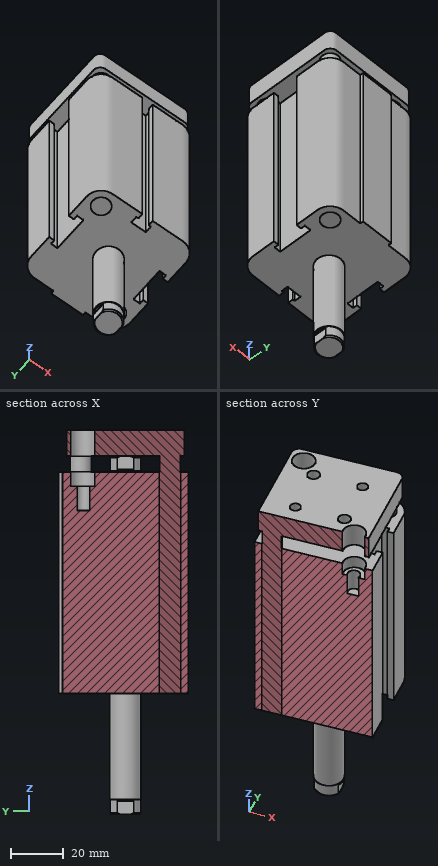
import cadquery as cq

TOTAL_HEIGHT = 146.5
PLATE_THICKNESS = 10.0
PLATE_GAP = 6.0
HOUSING_HEIGHT = 84.5
PLATE_BOTTOM = TOTAL_HEIGHT - PLATE_THICKNESS
HOUSING_TOP = PLATE_BOTTOM - PLATE_GAP
HOUSING_BOTTOM = HOUSING_TOP - HOUSING_HEIGHT

HOUSING_SIDE = 48.0
HOUSING_CORNER_RADIUS = 7.0
RIB_WIDTH = 15.5
RIB_RISE = 1.5

SLOT_DEPTH = 5.5
SLOT_LIP = 2.5
SIDE_MOUTH_WIDTH = 12.0
SIDE_CHANNEL_WIDTH = 16.0
FRONT_MOUTH_WIDTH = 5.0
FRONT_CHANNEL_WIDTH = 7.0

SCREW_HEAD_OFFSET = 16.3
SCREW_HEAD_DIAMETER = 9.1
SCREW_HEAD_DEPTH = 5.4
SCREW_HOLE_OFFSET = 16.0
SCREW_HOLE_DIAMETER = 5.0
SCREW_HOLE_DEPTH = 14.6

PLATE_SIDE = 45.0
PLATE_CORNER_RADIUS = 3.2
HOLE_OFFSET = 10.0
PIN_HOLE_DIAMETER = 5.0
THREAD_HOLE_DIAMETER = 4.2

ROD_OFFSET = 17.0
ROD_DIAMETER = 8.0

SHAFT_DIAMETER = 12.0
END_DIAMETER = 11.7
END_CHAMFER = 0.6
FLATS_WIDTH = 10.0
END_LENGTH = 5.7
FLATS_LENGTH = 5.0


def falling_diagonal(offset):
    """Two points on the diagonal from the -X +Y corner to the +X -Y corner."""
    return [(-offset, offset), (offset, -offset)]


def rising_diagonal(offset):
    """Two points on the diagonal from the -X -Y corner to the +X +Y corner."""
    return [(-offset, -offset), (offset, offset)]


def cylinders(points, diameter, bottom, top):
    """Vertical cylinders at the given points."""
    plane = cq.Workplane("XY").workplane(offset=bottom)
    return plane.pushPoints(points).circle(diameter / 2).extrude(top - bottom)


def rounded_block(side, corner_radius, bottom, top):
    """Square block centred on the Z axis, with rounded vertical edges."""
    block = cq.Workplane("XY").workplane(offset=bottom).rect(side, side).extrude(top - bottom)
    return block.edges("|Z").fillet(corner_radius)


def t_slot(mouth_width, channel_width, turn):
    """Full-height T-slot cutter for the -Y face, turned about Z by the given angle."""
    face = -HOUSING_SIDE / 2
    lip_end = face + SLOT_LIP
    floor = face + SLOT_DEPTH
    half_channel = channel_width / 2
    half_mouth = mouth_width / 2
    outline = [
        (-half_mouth, face),
        (half_mouth, face),
        (half_mouth, lip_end),
        (half_channel, lip_end),
        (half_channel, floor),
        (-half_channel, floor),
        (-half_channel, lip_end),
        (-half_mouth, lip_end),
    ]
    cutter = cq.Workplane("XY").workplane(offset=HOUSING_BOTTOM).polyline(outline).close()
    return cutter.extrude(HOUSING_HEIGHT).rotate((0, 0, 0), (0, 0, 1), turn)


def make_housing():
    body = rounded_block(HOUSING_SIDE, HOUSING_CORNER_RADIUS, HOUSING_BOTTOM, HOUSING_TOP)
    rib_end = HOUSING_SIDE / 2 + RIB_RISE
    rib = cq.Workplane("XY").box(RIB_WIDTH, rib_end, HOUSING_HEIGHT, centered=(True, False, False))
    body = body.union(rib.translate((0, 0, HOUSING_BOTTOM)))

    body = body.cut(t_slot(FRONT_MOUTH_WIDTH, FRONT_CHANNEL_WIDTH, 0))
    for turn in (-90, 90):
        body = body.cut(t_slot(SIDE_MOUTH_WIDTH, SIDE_CHANNEL_WIDTH, turn))

    hole_points = falling_diagonal(SCREW_HOLE_OFFSET)
    hole_bottom = HOUSING_TOP - SCREW_HOLE_DEPTH
    body = body.cut(cylinders(hole_points, SCREW_HOLE_DIAMETER, hole_bottom, HOUSING_TOP))
    head_points = falling_diagonal(SCREW_HEAD_OFFSET)
    head_bottom = HOUSING_TOP - SCREW_HEAD_DEPTH
    body = body.cut(cylinders(head_points, SCREW_HEAD_DIAMETER, head_bottom, HOUSING_TOP))

    body = body.cut(cylinders([(0, 0)], SHAFT_DIAMETER, HOUSING_BOTTOM, HOUSING_TOP))
    rod_points = rising_diagonal(ROD_OFFSET)
    return body.cut(cylinders(rod_points, ROD_DIAMETER, HOUSING_BOTTOM, HOUSING_TOP))


def wrench_flats(bottom, top):
    """Cutter that trims the shaft to the flats width across X."""
    height = top - bottom
    stock = cq.Workplane("XY").box(2 * SHAFT_DIAMETER, 2 * SHAFT_DIAMETER, height)
    kept = cq.Workplane("XY").box(FLATS_WIDTH, 2 * SHAFT_DIAMETER, height)
    return stock.cut(kept).translate((0, 0, bottom + height / 2))


def make_shaft():
    shaft_radius = SHAFT_DIAMETER / 2
    end_radius = END_DIAMETER / 2
    step = shaft_radius - end_radius
    shoulder_top = PLATE_BOTTOM - END_LENGTH
    half_section = [
        (0, 0),
        (end_radius - END_CHAMFER, 0),
        (end_radius, END_CHAMFER),
        (end_radius, END_LENGTH - step),
        (shaft_radius, END_LENGTH),
        (shaft_radius, shoulder_top),
        (end_radius, shoulder_top + step),
        (end_radius, PLATE_BOTTOM - END_CHAMFER),
        (end_radius - END_CHAMFER, PLATE_BOTTOM),
        (0, PLATE_BOTTOM),
    ]
    shaft = cq.Workplane("XZ").polyline(half_section).close().revolve(360, (0, 0, 0), (0, 1, 0))
    shaft = shaft.cut(wrench_flats(0, FLATS_LENGTH))
    return shaft.cut(wrench_flats(PLATE_BOTTOM - FLATS_LENGTH, PLATE_BOTTOM))


def make_plate():
    plate = rounded_block(PLATE_SIDE, PLATE_CORNER_RADIUS, PLATE_BOTTOM, TOTAL_HEIGHT)
    hole_sets = [
        (falling_diagonal(SCREW_HEAD_OFFSET), SCREW_HEAD_DIAMETER),
        (falling_diagonal(HOLE_OFFSET), PIN_HOLE_DIAMETER),
        (rising_diagonal(HOLE_OFFSET), THREAD_HOLE_DIAMETER),
    ]
    for points, diameter in hole_sets:
        plate = plate.cut(cylinders(points, diameter, PLATE_BOTTOM, TOTAL_HEIGHT))
    return plate


def make_slide():
    """Moving body: plate, piston shaft and guide rods in one piece."""
    rods = cylinders(rising_diagonal(ROD_OFFSET), ROD_DIAMETER, HOUSING_BOTTOM, PLATE_BOTTOM)
    return make_plate().union(make_shaft()).union(rods)


housing = make_housing()
slide = make_slide()

result = cq.Compound.makeCompound([housing.val(), slide.val()])